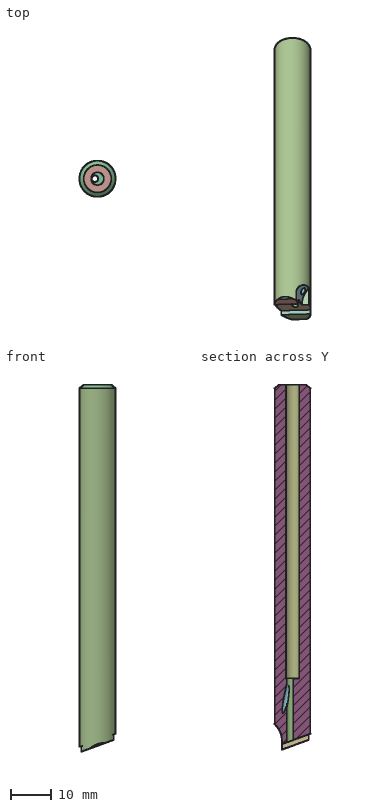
import cadquery as cq
import math

length = 90.8
diameter = 9.0
radius = diameter / 2
top_chamfer_width = 1.1
top_chamfer_height = 0.9

end_angle = 20.0
slot_half_width = 2.0
slot_rise = 1.4
end_slope = math.tan(math.radians(end_angle))
lowest_x = -math.sqrt(radius**2 - slot_half_width**2)
end_chamfer = 0.45
overrun = 1.8
cut_reach = radius + overrun

pocket_width = 3.6
pocket_floor_x = -math.sqrt(radius**2 - pocket_width**2)
pocket_arc_start_z = 2.7
pocket_top_z = 6.9

bore_diameter = 3.2
bore_bottom_z = 18.2
through_hole_diameter = 1.5
through_hole_x = -0.6
side_hole_diameter = 1.3
side_hole_y = 1.0
side_hole_exit_z = 5.45
side_hole_start_z = 17.25


def end_height(x):
    """Height of the slanted end face at the given x."""
    return (x - lowest_x) * end_slope


def sloped_cut(rise, half_width):
    """Material below the end face after raising that face by the given amount."""
    return (
        cq.Workplane("XZ")
        .moveTo(-cut_reach, end_height(-cut_reach) + rise)
        .lineTo(cut_reach, end_height(cut_reach) + rise)
        .lineTo(cut_reach, -cut_reach)
        .lineTo(-cut_reach, -cut_reach)
        .close()
        .extrude(half_width, both=True)
    )


def end_bevel(side):
    """45-degree wedge under the end face's side edge at +Y (side 1) or -Y (side -1)."""
    inner_y = radius - end_chamfer
    wedge_size = end_chamfer + overrun
    return (
        cq.Workplane("YZ", origin=(-cut_reach, 0, 0))
        .moveTo(side * inner_y, end_height(-cut_reach))
        .lineTo(side * (inner_y + wedge_size), end_height(-cut_reach) + wedge_size)
        .lineTo(side * (inner_y + wedge_size), end_height(-cut_reach))
        .close()
        .sweep(
            cq.Workplane("XZ")
            .moveTo(-cut_reach, end_height(-cut_reach))
            .lineTo(cut_reach, end_height(cut_reach))
        )
    )


def arc_radius_to_shank_side():
    """Radius of the run-out arc, tangent to the floor and ending on the shank side."""
    depth = pocket_floor_x + radius
    height = pocket_top_z - pocket_arc_start_z
    return (depth**2 + height**2) / (2 * depth)


arc_radius = arc_radius_to_shank_side()


def pocket_x(z):
    """Floor position on the run-out arc at height z."""
    return pocket_floor_x - arc_radius + math.sqrt(arc_radius**2 - (z - pocket_arc_start_z) ** 2)


def side_pocket():
    middle_z = (pocket_arc_start_z + pocket_top_z) / 2
    return (
        cq.Workplane("XZ")
        .moveTo(pocket_floor_x, -overrun)
        .lineTo(pocket_floor_x, pocket_arc_start_z)
        .threePointArc((pocket_x(middle_z), middle_z), (-radius, pocket_top_z))
        .lineTo(-cut_reach, pocket_top_z)
        .lineTo(-cut_reach, -overrun)
        .close()
        .extrude(-cut_reach)
    )


def side_hole():
    """Inclined hole branching from the through hole to the pocket's run-out arc."""
    start = cq.Vector(through_hole_x, 0, side_hole_start_z)
    exit_point = cq.Vector(pocket_x(side_hole_exit_z), side_hole_y, side_hole_exit_z)
    direction = exit_point - start
    hole_length = direction.Length + overrun
    return cq.Solid.makeCylinder(side_hole_diameter / 2, hole_length, start, direction)


shank = cq.Workplane("XY").circle(radius).extrude(length)
shank = shank.faces(">Z").edges().chamfer(top_chamfer_height, top_chamfer_width)

bore = (
    cq.Workplane("XY", origin=(0, 0, bore_bottom_z))
    .circle(bore_diameter / 2)
    .extrude(length - bore_bottom_z)
)
through_hole = (
    cq.Workplane("XY").center(through_hole_x, 0).circle(through_hole_diameter / 2).extrude(length)
)

result = (
    shank.cut(sloped_cut(0, cut_reach))
    .cut(sloped_cut(slot_rise, slot_half_width))
    .cut(end_bevel(1))
    .cut(end_bevel(-1))
    .cut(side_pocket())
    .cut(bore)
    .cut(through_hole)
    .cut(side_hole())
)